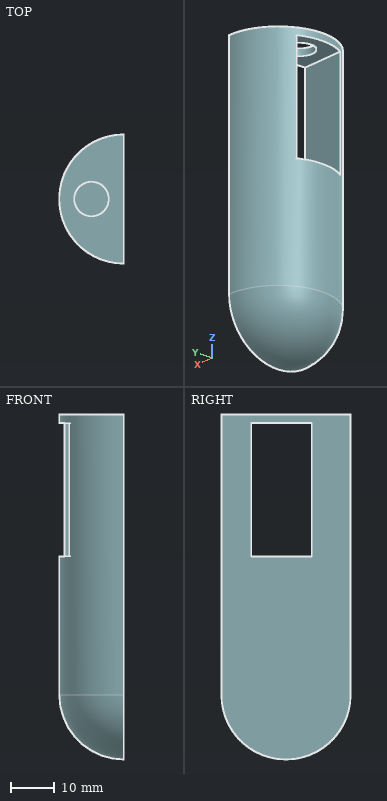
import cadquery as cq

total_height = 80.0
diameter = 30.0
radius = diameter / 2
top_plate = 2.0
window_width = 14.0
window_height = 30.9
window_offset_y = -1.0
hole_diameter = 8.0
hole_x = -radius / 2

top_z = total_height - radius
window_top_z = top_z - top_plate


def half_capsule():
    """Half cylinder with a quarter-sphere lower end and a flat face at X = 0."""
    profile = (
        cq.Workplane("XZ")
        .moveTo(0, -radius)
        .radiusArc((radius, 0), -radius)
        .lineTo(radius, top_z)
        .lineTo(0, top_z)
        .close()
    )
    full_body = profile.revolve(360, (0, 0, 0), (0, 1, 0))
    keep = (
        cq.Workplane("XY", origin=(0, 0, -radius))
        .box(diameter, diameter, total_height, centered=(False, True, False))
        .translate((-diameter, 0, 0))
    )
    return full_body.intersect(keep)


def window():
    """Rectangular opening running through the body along X."""
    return (
        cq.Workplane("XY")
        .box(diameter, window_width, window_height)
        .translate((-radius, window_offset_y, window_top_z - window_height / 2))
    )


def top_hole():
    """Round hole through the top plate into the window."""
    return (
        cq.Workplane("XY", origin=(hole_x, 0, window_top_z))
        .circle(hole_diameter / 2)
        .extrude(top_plate)
    )


result = half_capsule().cut(window()).cut(top_hole())